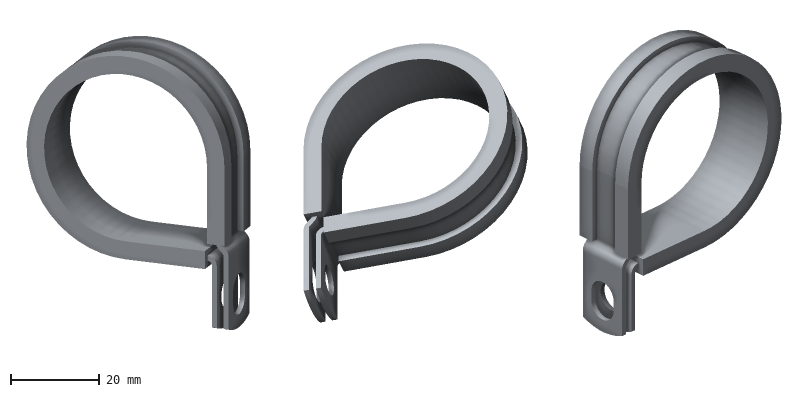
import cadquery as cq
import math

loop_radius = 24.1
cushion_thickness = 4.3
cushion_width = 15.75
groove_width = 7.45
strap_width = 12.8
strap_thickness = 1.2
upright_end_z = -18.05
foot_end_x = 19.3
inner_tab_x = 20.4
outer_tab_x = 23.25
tab_bottom_z = -39.65
tab_end_radius = 15.3
bend_radius = 1.0
hole_diameter = 7.2
slot_length = 9.7
hole_z = -31.7

bore_radius = loop_radius - cushion_thickness
strap_inner = bore_radius + (cushion_thickness - strap_thickness) / 2
strap_outer = strap_inner + strap_thickness
strap_middle = (strap_inner + strap_outer) / 2
outer_bend_radius = bend_radius + strap_thickness
middle_bend_radius = bend_radius + strap_thickness / 2


def extrude_centered(profile, width):
    """Extrude an XZ profile symmetrically about Y = 0."""
    return profile.extrude(width / 2, both=True)


def loop_band(inner, outer, width):
    """Three-quarter ring with a straight leg tangent to each end."""
    diagonal = math.sqrt(0.5)
    profile = (
        cq.Workplane("XZ")
        .moveTo(outer, upright_end_z)
        .lineTo(outer, 0)
        .threePointArc((-outer * diagonal, outer * diagonal), (0, -outer))
        .lineTo(foot_end_x, -outer)
        .lineTo(foot_end_x, -inner)
        .lineTo(0, -inner)
        .threePointArc((-inner * diagonal, inner * diagonal), (inner, 0))
        .lineTo(inner, upright_end_z)
        .close()
    )
    return extrude_centered(profile, width)


def inner_tab():
    """Strap leaving the bottom leg and bending down by 90 degrees."""
    outer_face_x = inner_tab_x + strap_thickness
    bend_x = inner_tab_x - bend_radius
    bend_z = -strap_outer - bend_radius
    profile = (
        cq.Workplane("XZ")
        .moveTo(foot_end_x - strap_thickness, -strap_inner)
        .lineTo(bend_x, -strap_inner)
        .radiusArc((outer_face_x, bend_z), outer_bend_radius)
        .lineTo(outer_face_x, tab_bottom_z)
        .lineTo(inner_tab_x, tab_bottom_z)
        .lineTo(inner_tab_x, bend_z)
        .radiusArc((bend_x, -strap_outer), -bend_radius)
        .lineTo(foot_end_x - strap_thickness, -strap_outer)
        .close()
    )
    return extrude_centered(profile, strap_width)


def outer_tab():
    """Strap leaving the upright leg and jogging outward at 45 degrees."""
    jog_top_z = -18.5
    tab_middle_x = outer_tab_x + strap_thickness / 2
    jog_bottom_z = jog_top_z - (tab_middle_x - strap_middle)
    bend_tangent = middle_bend_radius * math.tan(math.pi / 8)
    diagonal_step = bend_tangent * math.sqrt(0.5)
    path = (
        cq.Workplane("XZ")
        .moveTo(strap_middle, upright_end_z + strap_thickness)
        .lineTo(strap_middle, jog_top_z + bend_tangent)
        .radiusArc((strap_middle + diagonal_step, jog_top_z - diagonal_step), -middle_bend_radius)
        .lineTo(tab_middle_x - diagonal_step, jog_bottom_z + diagonal_step)
        .radiusArc((tab_middle_x, jog_bottom_z - bend_tangent), middle_bend_radius)
        .lineTo(tab_middle_x, tab_bottom_z)
    )
    section = (
        cq.Workplane("XY", origin=(strap_middle, 0, upright_end_z + strap_thickness))
        .rect(strap_thickness, strap_width)
    )
    return section.sweep(path)


def tab_envelope(opening_length):
    """Rounded lower outline of a tab, with an upright bolt opening removed."""
    half_width = strap_width / 2
    end_rise = tab_end_radius - math.sqrt(tab_end_radius**2 - half_width**2)
    outline = (
        cq.Workplane("YZ")
        .moveTo(-half_width, 0)
        .lineTo(-half_width, tab_bottom_z + end_rise)
        .threePointArc((0, tab_bottom_z), (half_width, tab_bottom_z + end_rise))
        .lineTo(half_width, 0)
        .close()
        .extrude(2 * loop_radius)
    )
    opening = cq.Workplane("YZ").center(0, hole_z)
    if opening_length > hole_diameter:
        opening = opening.slot2D(opening_length, hole_diameter, 90)
    else:
        opening = opening.circle(hole_diameter / 2)
    return outline.cut(opening.extrude(2 * loop_radius))


cushion = loop_band(bore_radius, loop_radius, cushion_width)
groove = loop_band(strap_outer, loop_radius, groove_width)
round_hole_tab = inner_tab().intersect(tab_envelope(hole_diameter))
slotted_tab = outer_tab().intersect(tab_envelope(slot_length))

result = cushion.cut(groove).union(round_hole_tab).union(slotted_tab)